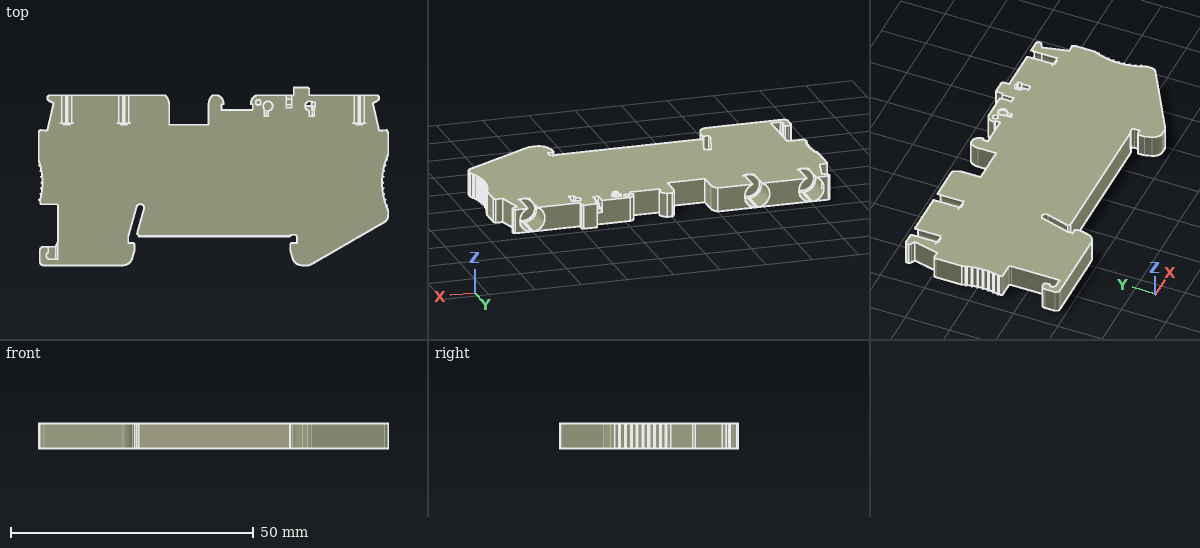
import cadquery as cq
import math

LENGTH = 72.2
HEIGHT = 36.8
THICKNESS = 5.2
TOP_Y = 35.2
AXIS_X = 36.04
SOCKET_FLOOR_Y = 29.1

SHOULDER_Y = 28.0
SHOULDER_DIP = 0.1
NECK_BOTTOM_REACH = 34.3
NECK_TOP_REACH = 33.0
NECK_TOP_Y = 33.5
EAR_REACH = 34.25
EAR_BOTTOM_Y = 34.0
EAR_CHAMFER = 0.35
SHOULDER_CHAMFER = 0.3
LEFT_SHOULDER_ROUND = 0.45

GRIP_Y = 17.15
GRIP_RADIUS = 13.8
LEFT_GRIP_DEPTH = 0.75
RIGHT_GRIP_DEPTH = 1.27
LEFT_GRIP_END_Y = 13.6
LEFT_GRIP_ROUND = 0.3
TOOTH_PITCH = 1.2
TOOTH_HEIGHT = 0.25
TOOTH_WIDTH = 0.45
TOOTH_ROOT = 0.1
LEFT_TEETH_PER_SIDE = 3
RIGHT_TEETH_PER_SIDE = 4

HOOK_LEFT_X = 0.2
HOOK_TOP_Y = 3.9
HOOK_ROUND = 0.85
FOOT_WALL_X = 3.97
FOOT_WALL_TOP_Y = 12.66
FOOT_WALL_ROUND = 0.4
POCKET_BOTTOM_Y = 1.35
POCKET_NECK_X = 2.0
POCKET_NECK_CHAMFER = 0.3
POCKET_NECK_Y = 2.75
POCKET_WIDE_Y = 2.3
POCKET_LEFT_X = 1.55
POCKET_CHAMFER = 0.45
WEB_THICKNESS = 0.95
WEB_RIB_HEIGHT = 1.35
WEB_RIB_WIDTH = 0.5
WEB_FLARE = 1.1

RAIL_Y = 6.15
RAIL_DRAFT = 0.2
RAIL_LEFT_X = 20.7
RAIL_RIGHT_X = 51.85
RELIEF_X = 53.3
RELIEF_LEFT_X = 52.4
RELIEF_Y = 6.35
RELIEF_ROUND = 0.45

SLOT_END_X = 20.97
SLOT_END_Y = 11.9
SLOT_RADIUS = 0.77
SLOT_ANGLE = math.radians(15.7)
SLOT_BEND_Y = 6.0
SLOT_MOUTH_Y = 6.6

LEFT_TOE_X = 19.8
RIGHT_TOE_X = 51.95
TOE_SIDE_Y = 3.1
TOE_RADIUS = 2.13
TOE_ANGLE = math.radians(74.0)
TOE_WIDTH = TOE_RADIUS * math.sin(TOE_ANGLE) + (
    TOE_SIDE_Y - TOE_RADIUS * (1 - math.cos(TOE_ANGLE))
) / math.tan(TOE_ANGLE)
LIP_Y = 4.7
LIP_CHAMFER = 0.25

RAMP_FOOT_X = 55.9
RAMP_ANGLE = math.radians(30.0)
RAMP_ROUND = 1.7

GAP_LEFT_X = 26.97
GAP_RIGHT_X = 35.05
GAP_ROUND_WIDTH = 0.88
GAP_ROUND_HEIGHT = 2.0
GAP_ROUND_RADIUS = (GAP_ROUND_WIDTH**2 + GAP_ROUND_HEIGHT**2) / (2 * GAP_ROUND_WIDTH)
NOTCH_LEFT_X = 37.8
NOTCH_RIGHT_X = 44.2
NOTCH_FLOOR_Y = 32.15
NOTCH_LEDGE_Y = 33.3
NOTCH_LEDGE_WIDTH = 0.4
NOTCH_ROUND_WIDTH = 1.2

SOCKET_XS = (5.8, 17.55, 66.2)
SOCKET_OPENING = 2.0
SOCKET_SLIT = 0.25
SOCKET_AXIS_Z = THICKNESS / 2 + (SOCKET_OPENING**2 - SOCKET_SLIT**2) / (8 * THICKNESS)
SOCKET_RADIUS = math.hypot(SOCKET_AXIS_Z, SOCKET_SLIT / 2)
SOCKET_CHAMFER = 0.3

TAB_LEFT_X = 52.65
TAB_RIGHT_X = 55.9
TAB_CHAMFER = 0.3
RECESS_LEFT_X = 51.1
RECESS_RIGHT_X = 52.25
RECESS_END_Y = 32.6
RECESS_STEP_Y = 33.25
RECESS_SLOPE_Y = 34.33
RECESS_DEPTH = 2.0
RECESS_STEP_DEPTH = 1.5
RECESS_MOUTH_DEPTH = 2.6

KEYHOLE_Y = 32.95
KEYHOLE_DIAMETER = 1.95
KEYHOLE_END_Y = 30.85
LEFT_KEYHOLE_X = 47.35
LEFT_KEYHOLE_SLOT = (46.6, 47.45)
LEFT_KEYHOLE_DEPTH = 0.3
LEFT_KEYHOLE_STEP_DEPTH = 0.6
RIGHT_KEYHOLE_X = 56.0
RIGHT_KEYHOLE_SLOT = (55.85, 56.95)
RIGHT_KEYHOLE_DEPTH = 1.5
WINDOW_BOTTOM_Y = 33.0
WINDOW_RIGHT_X = 56.3
CHANNEL_LEFT_X = 56.45
CHANNEL_BOTTOM_Y = 31.2
CHANNEL_DEPTH = 2.0
CHANNEL_WINDOW_Y = (32.3, 32.7)
NICK_RIGHT_X = 57.15
NICK_Y = (32.95, 33.75)
DIMPLE_X = 45.35
DIMPLE_Y = 33.7
DIMPLE_DIAMETER = 1.1
DIMPLE_DEPTH = 1.5


def grip_half_chord(depth):
    """Half the height of a grip hollow where it meets the straight end."""
    return math.sqrt(GRIP_RADIUS**2 - (GRIP_RADIUS - depth) ** 2)


def prism(points, bottom=0.0, top=THICKNESS):
    """Straight-sided block between two Z levels."""
    return cq.Workplane("XY").workplane(offset=bottom).polyline(points).close().extrude(top - bottom)


def block(left, right, low, high, bottom=0.0, top=THICKNESS):
    """Rectangular block given by its X, Y and Z limits."""
    return prism([(left, low), (right, low), (right, high), (left, high)], bottom, top)


def cylinder(x, y, diameter, depth):
    """Round cutter sunk from the upper face."""
    start = THICKNESS - depth
    return cq.Workplane("XY").workplane(offset=start).center(x, y).circle(diameter / 2).extrude(depth)


def shoulder(side):
    """Corner points from the shoulder up to the ear; side is -1 left, +1 right."""
    return [
        (AXIS_X + side * NECK_BOTTOM_REACH, SHOULDER_Y - SHOULDER_DIP),
        (AXIS_X + side * NECK_TOP_REACH, NECK_TOP_Y),
        (AXIS_X + side * (EAR_REACH - EAR_CHAMFER), EAR_BOTTOM_Y),
        (AXIS_X + side * EAR_REACH, EAR_BOTTOM_Y + EAR_CHAMFER),
        (AXIS_X + side * EAR_REACH, TOP_Y - EAR_CHAMFER),
        (AXIS_X + side * (EAR_REACH - EAR_CHAMFER), TOP_Y),
    ]


def follow(outline, points):
    """Continue an outline through straight segments."""
    for point in points:
        outline = outline.lineTo(*point)
    return outline


def add_left_end(outline):
    """Foot wall, grip hollow, shoulder and ear of the left end, from bottom to top."""
    outline = outline.lineTo(FOOT_WALL_X, FOOT_WALL_TOP_Y - FOOT_WALL_ROUND)
    outline = outline.radiusArc((FOOT_WALL_X - FOOT_WALL_ROUND, FOOT_WALL_TOP_Y), -FOOT_WALL_ROUND)
    half_chord = grip_half_chord(LEFT_GRIP_DEPTH)
    center_x = LEFT_GRIP_DEPTH - GRIP_RADIUS
    end_x = center_x + math.sqrt(GRIP_RADIUS**2 - (GRIP_Y - LEFT_GRIP_END_Y) ** 2)
    outline = outline.lineTo(end_x + LEFT_GRIP_ROUND, FOOT_WALL_TOP_Y)
    outline = outline.radiusArc((end_x, FOOT_WALL_TOP_Y + LEFT_GRIP_ROUND), LEFT_GRIP_ROUND)
    outline = outline.lineTo(end_x, LEFT_GRIP_END_Y)
    outline = outline.threePointArc((LEFT_GRIP_DEPTH, GRIP_Y), (0, GRIP_Y + half_chord))
    outline = outline.lineTo(0, SHOULDER_Y - LEFT_SHOULDER_ROUND)
    outline = outline.radiusArc((LEFT_SHOULDER_ROUND, SHOULDER_Y), LEFT_SHOULDER_ROUND)
    return follow(outline, shoulder(-1))


def add_top_edge(outline):
    """Marker gap, finger and connector notch between the two ears."""
    round_start_y = TOP_Y - GAP_ROUND_HEIGHT
    outline = outline.lineTo(GAP_LEFT_X - GAP_ROUND_WIDTH, TOP_Y)
    outline = outline.radiusArc((GAP_LEFT_X, round_start_y), GAP_ROUND_RADIUS)
    outline = follow(
        outline,
        [(GAP_LEFT_X, SOCKET_FLOOR_Y), (GAP_RIGHT_X, SOCKET_FLOOR_Y), (GAP_RIGHT_X, round_start_y)],
    )
    outline = outline.radiusArc((GAP_RIGHT_X + GAP_ROUND_WIDTH, TOP_Y), GAP_ROUND_RADIUS)
    ledge_left_x = NOTCH_LEFT_X + NOTCH_LEDGE_WIDTH
    ledge_right_x = NOTCH_RIGHT_X - NOTCH_LEDGE_WIDTH
    notch_radius = TOP_Y - NOTCH_LEDGE_Y
    outline = outline.lineTo(ledge_left_x - NOTCH_ROUND_WIDTH, TOP_Y)
    outline = outline.radiusArc((ledge_left_x, NOTCH_LEDGE_Y), notch_radius)
    outline = follow(
        outline,
        [
            (NOTCH_LEFT_X, NOTCH_LEDGE_Y),
            (NOTCH_LEFT_X, NOTCH_FLOOR_Y),
            (NOTCH_RIGHT_X, NOTCH_FLOOR_Y),
            (NOTCH_RIGHT_X, NOTCH_LEDGE_Y),
            (ledge_right_x, NOTCH_LEDGE_Y),
        ],
    )
    return outline.radiusArc((ledge_right_x + NOTCH_ROUND_WIDTH, TOP_Y), notch_radius)


def add_ramp(outline):
    """Ramp from the right end down to the foot, rounded at both ends."""
    top_x = LENGTH - RAMP_ROUND * (1 - math.sin(RAMP_ANGLE))
    top_y = (top_x - RAMP_FOOT_X) * math.tan(RAMP_ANGLE)
    foot_tangent = RAMP_ROUND * math.tan(RAMP_ANGLE / 2)
    foot_end_x = RAMP_FOOT_X + foot_tangent * math.cos(RAMP_ANGLE)
    foot_end_y = foot_tangent * math.sin(RAMP_ANGLE)
    outline = outline.lineTo(LENGTH, top_y + RAMP_ROUND * math.cos(RAMP_ANGLE))
    outline = outline.radiusArc((top_x, top_y), RAMP_ROUND)
    outline = outline.lineTo(foot_end_x, foot_end_y)
    return outline.radiusArc((RAMP_FOOT_X - foot_tangent, 0), RAMP_ROUND)


def add_right_end(outline):
    """Right ear, shoulder, grip hollow and ramp down to the right foot."""
    half_chord = grip_half_chord(RIGHT_GRIP_DEPTH)
    outline = follow(outline, reversed(shoulder(1)))
    outline = follow(
        outline,
        [
            (LENGTH - SHOULDER_CHAMFER, SHOULDER_Y),
            (LENGTH, SHOULDER_Y - 2 * SHOULDER_CHAMFER),
            (LENGTH, GRIP_Y + half_chord),
        ],
    )
    outline = outline.threePointArc((LENGTH - RIGHT_GRIP_DEPTH, GRIP_Y), (LENGTH, GRIP_Y - half_chord))
    return add_ramp(outline)


def toe(tip_x, side):
    """Lip, side and rounding points of a toe from top to bottom; side points away from the foot."""
    kink_x = tip_x - side * (TOE_WIDTH - TOE_RADIUS * math.sin(TOE_ANGLE))
    kink_y = TOE_RADIUS * (1 - math.cos(TOE_ANGLE))
    return [
        (tip_x - side * LIP_CHAMFER, LIP_Y),
        (tip_x, LIP_Y - LIP_CHAMFER),
        (tip_x, TOE_SIDE_Y),
        (kink_x, kink_y),
        (tip_x - side * TOE_WIDTH, 0),
    ]


def add_spring_slot(outline):
    """Leaning slot with a round end that frees the left foot."""
    across_x = SLOT_RADIUS * math.cos(SLOT_ANGLE)
    across_y = SLOT_RADIUS * math.sin(SLOT_ANGLE)
    right = (SLOT_END_X + across_x, SLOT_END_Y - across_y)
    left = (SLOT_END_X - across_x, SLOT_END_Y + across_y)
    tip = (SLOT_END_X + across_y, SLOT_END_Y + across_x)
    mouth_x = right[0] - (right[1] - SLOT_MOUTH_Y) * math.tan(SLOT_ANGLE)
    bend_x = left[0] - (left[1] - SLOT_BEND_Y) * math.tan(SLOT_ANGLE)
    outline = follow(outline, [(mouth_x, SLOT_MOUTH_Y), right])
    outline = outline.threePointArc(tip, left)
    return follow(outline, [(bend_x, SLOT_BEND_Y), (bend_x, LIP_Y)])


def add_bottom_edge(outline):
    """Right toe, relief, rail seat, spring slot and left toe."""
    right_toe = toe(RIGHT_TOE_X, -1)
    outline = outline.lineTo(*right_toe[-1]).radiusArc(right_toe[-2], TOE_RADIUS)
    outline = follow(outline, right_toe[2::-1] + [(RELIEF_X, LIP_Y), (RELIEF_X, RELIEF_Y - RELIEF_ROUND)])
    outline = outline.radiusArc((RELIEF_X - RELIEF_ROUND, RELIEF_Y), -RELIEF_ROUND)
    outline = follow(outline, [(RELIEF_LEFT_X, RELIEF_Y), (RAIL_RIGHT_X, RAIL_Y), (RAIL_LEFT_X, RAIL_Y)])
    outline = add_spring_slot(outline)
    left_toe = toe(LEFT_TOE_X, 1)
    return follow(outline, left_toe[:-1]).radiusArc(left_toe[-1], TOE_RADIUS)


def add_hook(outline):
    """Hook and pocket of the left foot, back to the foot wall."""
    outline = outline.lineTo(HOOK_LEFT_X + HOOK_ROUND, 0)
    outline = outline.radiusArc((HOOK_LEFT_X, HOOK_ROUND), HOOK_ROUND)
    outline = outline.lineTo(HOOK_LEFT_X, HOOK_TOP_Y - HOOK_ROUND)
    outline = outline.radiusArc((HOOK_LEFT_X + HOOK_ROUND, HOOK_TOP_Y), HOOK_ROUND)
    return follow(
        outline,
        [
            (POCKET_NECK_X - POCKET_NECK_CHAMFER, HOOK_TOP_Y),
            (POCKET_NECK_X, HOOK_TOP_Y - POCKET_NECK_CHAMFER),
            (POCKET_NECK_X, POCKET_NECK_Y),
            (POCKET_LEFT_X, POCKET_WIDE_Y),
            (POCKET_LEFT_X, POCKET_BOTTOM_Y + POCKET_CHAMFER),
            (POCKET_LEFT_X + POCKET_CHAMFER, POCKET_BOTTOM_Y),
            (FOOT_WALL_X, POCKET_BOTTOM_Y),
        ],
    )


def make_plate():
    outline = cq.Workplane("XY").moveTo(FOOT_WALL_X, POCKET_BOTTOM_Y)
    for section in (add_left_end, add_top_edge, add_right_end, add_bottom_edge, add_hook):
        outline = section(outline)
    return outline.close().extrude(THICKNESS)


def make_teeth(deepest_x, side, teeth_per_side):
    """Serrations on one grip, each square to the hollow; side points out of the part."""
    center_x = deepest_x + side * GRIP_RADIUS
    tip_radius = GRIP_RADIUS - TOOTH_HEIGHT
    root_radius = GRIP_RADIUS + TOOTH_ROOT
    half_angle = TOOTH_WIDTH / 2 / GRIP_RADIUS
    teeth = cq.Workplane("XY")
    for index in range(-teeth_per_side, teeth_per_side + 1):
        angle = math.asin(index * TOOTH_PITCH / GRIP_RADIUS)
        corners = [(root_radius, angle - half_angle), (root_radius, angle + half_angle), (tip_radius, angle)]
        points = [(center_x - side * r * math.cos(a), GRIP_Y + r * math.sin(a)) for r, a in corners]
        teeth = teeth.add(prism(points))
    return teeth.combine()


def make_hook_web():
    """Floor of the hook pocket with a sloped rib along the foot wall."""
    flare_x = FOOT_WALL_X - WEB_RIB_WIDTH
    web = block(HOOK_LEFT_X + HOOK_ROUND, FOOT_WALL_X, POCKET_BOTTOM_Y, HOOK_TOP_Y, 0, WEB_THICKNESS)
    rib_profile = [
        (flare_x, 0),
        (FOOT_WALL_X, 0),
        (FOOT_WALL_X, WEB_RIB_HEIGHT),
        (flare_x, WEB_THICKNESS),
    ]
    rib_length = HOOK_TOP_Y + WEB_FLARE - POCKET_BOTTOM_Y
    rib_sketch = cq.Workplane("XZ", origin=(0, POCKET_BOTTOM_Y, 0)).polyline(rib_profile).close()
    rib = rib_sketch.extrude(-rib_length)
    corner = prism(
        [
            (flare_x, HOOK_TOP_Y),
            (FOOT_WALL_X, HOOK_TOP_Y + WEB_FLARE),
            (flare_x, HOOK_TOP_Y + WEB_FLARE),
        ]
    )
    return web.union(rib.cut(corner))


def make_rail_draft():
    """Wedge that leans the rail edge outward toward the underside."""
    profile = [(RAIL_Y, 0), (RAIL_Y - RAIL_DRAFT, 0), (RAIL_Y, THICKNESS)]
    wedge = cq.Workplane("YZ", origin=(RAIL_LEFT_X, 0, 0)).polyline(profile).close()
    return wedge.extrude(RAIL_RIGHT_X - RAIL_LEFT_X)


def make_tab():
    return prism(
        [
            (TAB_LEFT_X, TOP_Y),
            (TAB_RIGHT_X, TOP_Y),
            (TAB_RIGHT_X, HEIGHT - TAB_CHAMFER),
            (TAB_RIGHT_X - TAB_CHAMFER, HEIGHT),
            (TAB_LEFT_X, HEIGHT),
        ]
    )


def make_socket(x):
    """Blind bore with a chamfered bottom."""
    plane = cq.Workplane("XZ", origin=(x, SOCKET_FLOOR_Y, SOCKET_AXIS_Z))
    bore = plane.circle(SOCKET_RADIUS).extrude(SOCKET_FLOOR_Y - TOP_Y)
    return bore.faces("<Y").chamfer(SOCKET_CHAMFER)


def make_tab_recess():
    """Recess beside the tab: a step, a flat floor and a floor falling to the mouth."""
    profile = [
        (RECESS_END_Y, THICKNESS),
        (RECESS_END_Y, THICKNESS - RECESS_STEP_DEPTH),
        (RECESS_STEP_Y, THICKNESS - RECESS_STEP_DEPTH),
        (RECESS_STEP_Y, THICKNESS - RECESS_DEPTH),
        (RECESS_SLOPE_Y, THICKNESS - RECESS_DEPTH),
        (TOP_Y, THICKNESS - RECESS_MOUTH_DEPTH),
        (TOP_Y, THICKNESS),
    ]
    recess = cq.Workplane("YZ", origin=(RECESS_LEFT_X, 0, 0)).polyline(profile).close()
    return recess.extrude(RECESS_RIGHT_X - RECESS_LEFT_X)


def make_keyhole(x, slot, depth):
    """Round recess with a slot running down from it."""
    left, right = slot
    stem = block(left, right, KEYHOLE_END_Y, KEYHOLE_Y, THICKNESS - depth)
    return cylinder(x, KEYHOLE_Y, KEYHOLE_DIAMETER, depth).union(stem)


def make_left_keyhole():
    left, right = LEFT_KEYHOLE_SLOT
    keyhole = make_keyhole(LEFT_KEYHOLE_X, LEFT_KEYHOLE_SLOT, LEFT_KEYHOLE_DEPTH)
    step_top_y = KEYHOLE_Y - KEYHOLE_DIAMETER / 2
    step = block((left + right) / 2, right, KEYHOLE_END_Y, step_top_y, THICKNESS - LEFT_KEYHOLE_STEP_DEPTH)
    return keyhole.union(step)


def make_right_keyhole():
    keyhole = make_keyhole(RIGHT_KEYHOLE_X, RIGHT_KEYHOLE_SLOT, RIGHT_KEYHOLE_DEPTH)
    radius = KEYHOLE_DIAMETER / 2
    opening = block(RIGHT_KEYHOLE_X - radius, WINDOW_RIGHT_X, WINDOW_BOTTOM_Y, KEYHOLE_Y + radius)
    window = cylinder(RIGHT_KEYHOLE_X, KEYHOLE_Y, KEYHOLE_DIAMETER, THICKNESS).intersect(opening)
    slot_right_x = RIGHT_KEYHOLE_SLOT[1]
    channel_floor_z = THICKNESS - CHANNEL_DEPTH
    channel = block(CHANNEL_LEFT_X, slot_right_x, CHANNEL_BOTTOM_Y, KEYHOLE_Y, channel_floor_z)
    channel_window = block(CHANNEL_LEFT_X, slot_right_x, *CHANNEL_WINDOW_Y)
    nick = block(WINDOW_RIGHT_X, NICK_RIGHT_X, *NICK_Y, THICKNESS - RIGHT_KEYHOLE_DEPTH)
    return keyhole.union(window).union(channel).union(channel_window).union(nick)


result = make_plate()
result = result.union(make_teeth(LEFT_GRIP_DEPTH, -1, LEFT_TEETH_PER_SIDE))
result = result.union(make_teeth(LENGTH - RIGHT_GRIP_DEPTH, 1, RIGHT_TEETH_PER_SIDE))
result = result.union(make_hook_web()).union(make_rail_draft()).union(make_tab())

for socket_x in SOCKET_XS:
    result = result.cut(make_socket(socket_x))
result = result.cut(make_tab_recess())
result = result.cut(make_left_keyhole()).cut(make_right_keyhole())
result = result.cut(cylinder(DIMPLE_X, DIMPLE_Y, DIMPLE_DIAMETER, DIMPLE_DEPTH))